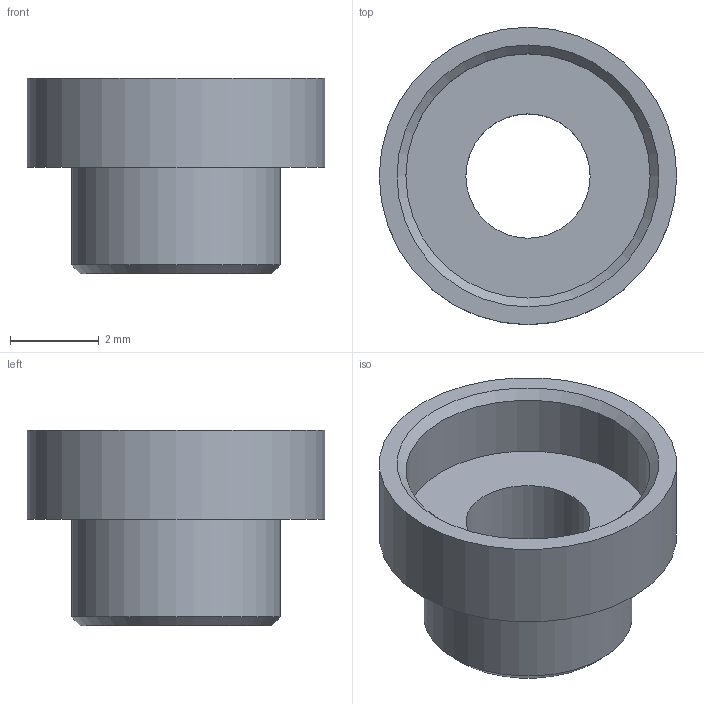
import cadquery as cq

head_diameter = 6.7
head_height = 2.0
shank_diameter = 4.7
shank_length = 2.4
bore_diameter = 2.8
recess_diameter = 5.5
recess_depth = 1.6
edge_chamfer = 0.2

total_height = shank_length + head_height
recess_floor = total_height - recess_depth


def make_shank():
    """Cylindrical shank with a chamfered lower end, standing on Z = 0."""
    shank = cq.Workplane("XY").circle(shank_diameter / 2).extrude(shank_length)
    return shank.faces("<Z").edges().chamfer(edge_chamfer)


def make_head():
    """Wider cylindrical head on top of the shank."""
    return cq.Workplane("XY").workplane(offset=shank_length).circle(head_diameter / 2).extrude(head_height)


def make_recess():
    """Round pocket in the head, widened by a chamfer at its mouth."""
    recess_radius = recess_diameter / 2
    mouth_radius = recess_radius + edge_chamfer
    profile = (
        cq.Workplane("XZ")
        .moveTo(0, recess_floor)
        .lineTo(recess_radius, recess_floor)
        .lineTo(recess_radius, total_height - edge_chamfer)
        .lineTo(mouth_radius, total_height)
        .lineTo(0, total_height)
        .close()
    )
    return profile.revolve(360, (0, 0, 0), (0, 1, 0))


def make_bore():
    """Through hole along the axis of the part."""
    return cq.Workplane("XY").circle(bore_diameter / 2).extrude(total_height)


result = make_shank().union(make_head()).cut(make_recess()).cut(make_bore())